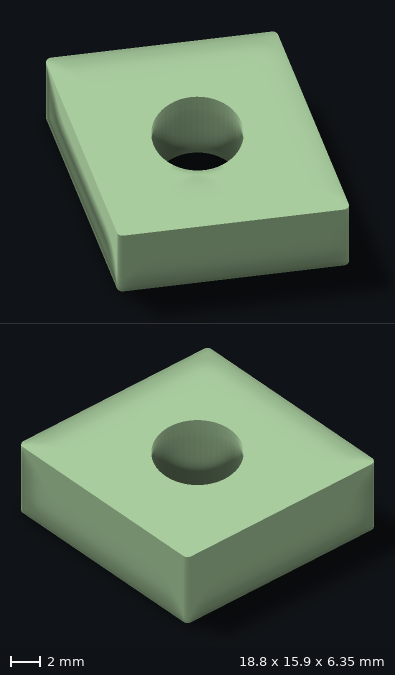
import cadquery as cq
import math

inscribed_diameter = 15.875
acute_angle = 80.0
thickness = 6.35
hole_diameter = 6.35
nose_radius = 0.4

side_length = inscribed_diameter / math.sin(math.radians(acute_angle))
half_height = inscribed_diameter / 2
half_side = side_length / 2
half_lean = half_height / math.tan(math.radians(acute_angle))


def make_body():
    """Rhombic prism centred on the Z axis, with rounded corners."""
    corners = [
        (-half_side - half_lean, -half_height),
        (half_side - half_lean, -half_height),
        (half_side + half_lean, half_height),
        (-half_side + half_lean, half_height),
    ]
    prism = cq.Workplane("XY").polyline(corners).close().extrude(thickness)
    return prism.edges("|Z").fillet(nose_radius)


def make_hole():
    """Cylinder that clears the central clamping hole."""
    return cq.Workplane("XY").circle(hole_diameter / 2).extrude(thickness)


result = make_body().cut(make_hole())